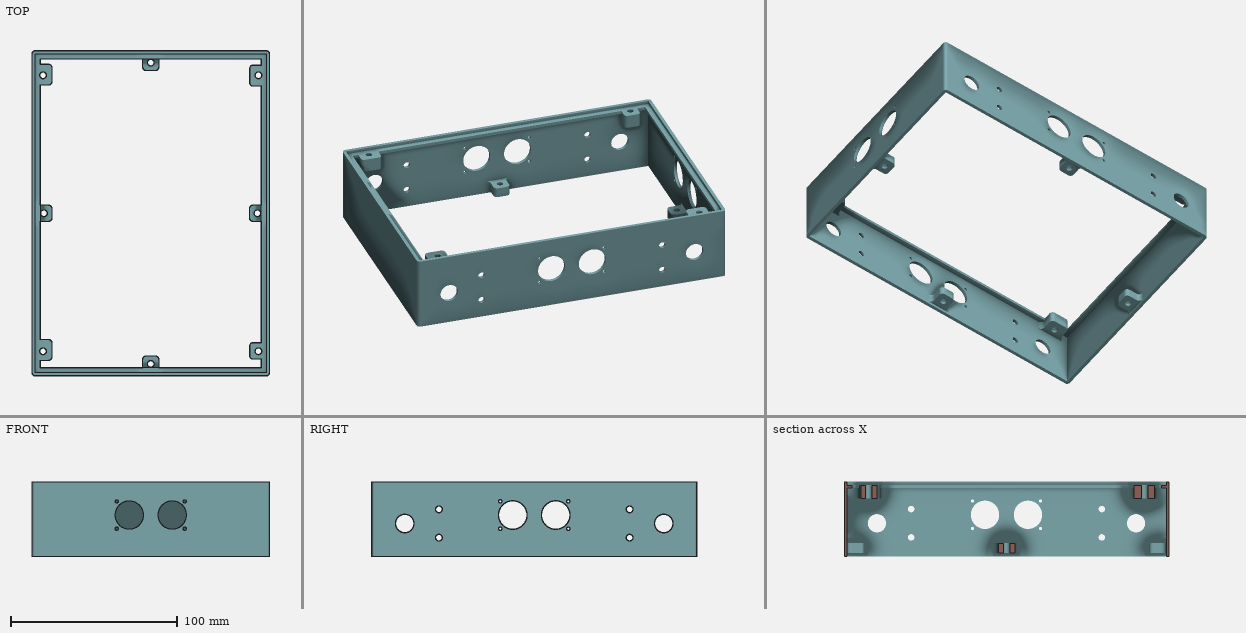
import cadquery as cq

length_x = 143.0
length_y = 196.0
height = 45.0
wall = 2.0
corner_radius = 2.0

ledge_depth = 2.0
ledge_thickness = 2.0
ledge_reach = 5.0
ledge_top = height - ledge_depth

lug_reach = 12.2
lug_round = 2.4
right_corner_lug_reach = 12.0
right_corner_lug_round = 2.0
lug_flare = 2.7
screw_diameter = 4.0
edge_lug_length = 10.0
edge_lug_height = 6.0
edge_lug_bottom = 2.0
edge_screw_offset = 7.3
corner_lug_height = 8.2
corner_lug_length = 12.7
short_corner_lug_length = 10.0
corner_lug_from_end = 15.0
left_corner_lug_shift = 0.5
corner_screw_offset = 6.7
corner_screw_from_end = 14.9

socket_diameter = 17.0
socket_spacing = 25.9
socket_z = 25.0
socket_screw_diameter = 2.0
socket_screw_spacing_across = 41.0
socket_screw_spacing_up = 16.5

port_diameter = 11.0
port_spacing = 156.0
mount_hole_diameter = 4.0
mount_hole_spacing_along = 114.9
mount_hole_spacing_up = 17.0
side_hole_z = 20.0


def box(size_x, size_y, size_z, bottom):
    return cq.Workplane("XY").box(size_x, size_y, size_z, centered=(True, True, False)).translate((0, 0, bottom))


def inset_box(inset, size_z, bottom):
    return box(length_x - 2 * inset, length_y - 2 * inset, size_z, bottom)


def make_frame():
    shell = inset_box(0, height, 0).edges("|Z").fillet(corner_radius)
    shell = shell.cut(inset_box(wall, height, 0))
    ledge = inset_box(wall, ledge_thickness, ledge_top - ledge_thickness)
    ledge = ledge.cut(inset_box(ledge_reach, ledge_thickness, ledge_top - ledge_thickness))
    return shell.union(ledge)


def make_lug(lug_length, lug_height, reach=lug_reach, tip_round=lug_round):
    """Lug on a wall whose outer face is at X = 0, reaching to +X, flared where it meets the wall."""
    half = lug_length / 2
    flare_end = wall + lug_flare
    tip_start = reach - tip_round
    return (
        cq.Workplane("XY")
        .moveTo(wall, -half - lug_flare)
        .radiusArc((flare_end, -half), lug_flare)
        .lineTo(tip_start, -half)
        .radiusArc((reach, -half + tip_round), -tip_round)
        .lineTo(reach, half - tip_round)
        .radiusArc((tip_start, half), -tip_round)
        .lineTo(flare_end, half)
        .radiusArc((wall, half + lug_flare), lug_flare)
        .close()
        .extrude(lug_height)
    )


def place_lug(lug, turn, outer_face, along, bottom):
    """Move a lug to the given wall, turn = 0 for the -X wall, after shifting it along Y."""
    return lug.translate((-outer_face, along, bottom)).rotate((0, 0, 0), (0, 0, 1), turn)


def add_lugs(body):
    edge_lug = make_lug(edge_lug_length, edge_lug_height)
    for turn, outer_face in ((0, length_x / 2), (90, length_y / 2), (180, length_x / 2), (270, length_y / 2)):
        body = body.union(place_lug(edge_lug, turn, outer_face, 0, edge_lug_bottom))

    right_tip = {"reach": right_corner_lug_reach, "tip_round": right_corner_lug_round}
    left_lug = make_lug(corner_lug_length, corner_lug_height)
    right_lug = make_lug(corner_lug_length, corner_lug_height, **right_tip)
    short_right_lug = make_lug(short_corner_lug_length, corner_lug_height, **right_tip)
    along = length_y / 2 - corner_lug_from_end
    corner_bottom = ledge_top - corner_lug_height
    for lug, turn, shift in (
        (left_lug, 0, along + left_corner_lug_shift),
        (left_lug, 0, -along + left_corner_lug_shift),
        (right_lug, 180, -along),
        (short_right_lug, 180, along),
    ):
        body = body.union(place_lug(lug, turn, length_x / 2, shift, corner_bottom))
    return body


def lug_screws():
    """Cutters for the screw holes through the edge lugs and the corner lugs."""
    edge_x = length_x / 2 - edge_screw_offset
    edge_y = length_y / 2 - edge_screw_offset
    edge_screws = (
        cq.Workplane("XY", origin=(0, 0, edge_lug_bottom))
        .pushPoints([(edge_x, 0), (-edge_x, 0), (0, edge_y), (0, -edge_y)])
        .circle(screw_diameter / 2)
        .extrude(edge_lug_height)
    )
    corner_screws = (
        cq.Workplane("XY", origin=(0, 0, ledge_top))
        .rarray(length_x - 2 * corner_screw_offset, length_y - 2 * corner_screw_from_end, 2, 2)
        .circle(screw_diameter / 2)
        .extrude(-corner_lug_height)
    )
    return edge_screws.union(corner_screws)


def socket_pair(plane, depth):
    """Cutters for two sockets and their four screw holes, starting on the given plane."""
    face = cq.Workplane(plane).center(0, socket_z)
    sockets = face.rarray(socket_spacing, 2, 2, 1).circle(socket_diameter / 2).extrude(depth)
    screws = (
        face.rarray(socket_screw_spacing_across, socket_screw_spacing_up, 2, 2)
        .circle(socket_screw_diameter / 2)
        .extrude(depth)
    )
    return sockets.union(screws)


def side_holes(plane, depth):
    """Cutters for the end ports and mounting holes of the long walls."""
    face = cq.Workplane(plane).center(0, side_hole_z)
    ports = face.rarray(port_spacing, 2, 2, 1).circle(port_diameter / 2).extrude(depth)
    mounts = (
        face.rarray(mount_hole_spacing_along, mount_hole_spacing_up, 2, 2)
        .circle(mount_hole_diameter / 2)
        .extrude(depth)
    )
    return ports.union(mounts)


side_plane = cq.Plane(origin=(-length_x / 2, 0, 0), xDir=(0, 1, 0), normal=(1, 0, 0))
front_plane = cq.Plane(origin=(0, -length_y / 2, 0), xDir=(-1, 0, 0), normal=(0, 1, 0))

result = add_lugs(make_frame()).cut(lug_screws())
result = result.cut(socket_pair(side_plane, length_x))
result = result.cut(side_holes(side_plane, length_x))
result = result.cut(socket_pair(front_plane, wall))